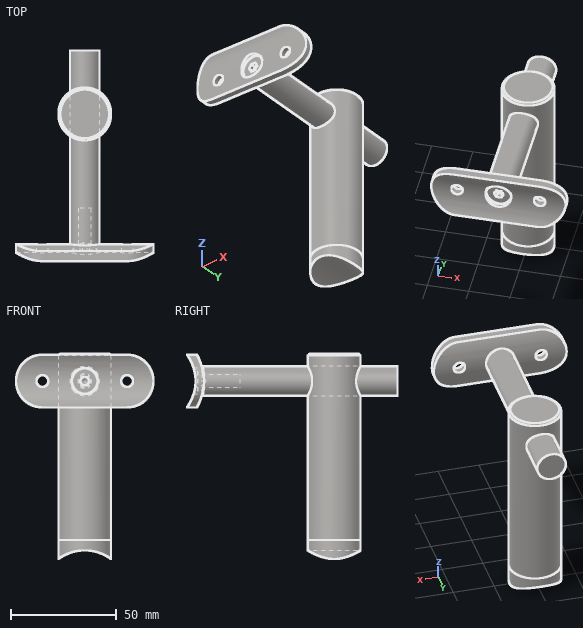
import cadquery as cq


tube_radius = 42.4 / 2

post_diameter = 25.0
post_top = 13.0
post_chamfer = 1.0
post_bottom = -75.0
foot_height = 5.0

plate_length = 65.0
plate_width = post_diameter
plate_thickness = 4.0
plate_inner_y = -65.5
plate_outer_y = plate_inner_y + plate_thickness
plate_tube_y = plate_inner_y - tube_radius
plate_back_radius = tube_radius + plate_thickness
fixing_hole_diameter = 5.5
fixing_hole_spacing = 40.0

bar_diameter = 14.0
bar_back_y = 30.0
bar_end_radius = 2 * tube_radius

screw_diameter = 6.0
screw_length = 20.0
screw_head_diameter = 12.0
screw_face_depth = 1.0
screw_face_y = plate_inner_y + screw_face_depth
screw_rim_height = 0.3
screw_cone_y = screw_face_y + screw_rim_height
screw_cone_end_y = screw_cone_y + (screw_head_diameter - screw_diameter) / 2
recess_diameter = 12.4
recess_cone_y = screw_cone_y - (recess_diameter - screw_head_diameter) / 2
socket_across_flats = 4.0
socket_turn = 30.0
socket_depth = 3.0
socket_cone_height = 1.0

cut_margin = 10.0


def cylinder_x(radius, y, length):
    """Cylinder parallel to X, centred on X = 0, with its axis at Z = 0."""
    return cq.Workplane("YZ").center(y, 0).circle(radius).extrude(length / 2, both=True)


def cylinder_y(diameter, start_y, end_y, x=0.0):
    """Cylinder parallel to Y between two Y positions, with its axis at Z = 0."""
    solid = cq.Solid.makeCylinder(
        diameter / 2, end_y - start_y, cq.Vector(x, start_y, 0), cq.Vector(0, 1, 0)
    )
    return cq.Workplane(solid)


def cone_y(start_diameter, end_diameter, start_y, end_y):
    """Cone on the Y axis between two Y positions."""
    solid = cq.Solid.makeCone(
        start_diameter / 2, end_diameter / 2, end_y - start_y, cq.Vector(0, start_y, 0), cq.Vector(0, 1, 0)
    )
    return cq.Workplane(solid)


def make_post():
    """Round post with a chamfered top and a cross hole for the bar."""
    post = (
        cq.Workplane("XY", origin=(0, 0, post_bottom))
        .circle(post_diameter / 2)
        .extrude(post_top - post_bottom)
        .faces(">Z")
        .chamfer(post_chamfer)
    )
    return post.cut(cylinder_y(bar_diameter, -post_diameter, post_diameter))


def make_foot():
    """Disc under the post, hollowed below to sit on a tube that runs along Y."""
    foot = (
        cq.Workplane("XY", origin=(0, 0, post_bottom))
        .circle(post_diameter / 2)
        .extrude(-foot_height - tube_radius)
    )
    tube_z = post_bottom - foot_height - tube_radius
    tube = (
        cq.Workplane("XZ")
        .center(0, tube_z)
        .circle(tube_radius)
        .extrude(post_diameter, both=True)
    )
    return foot.cut(tube)


def make_screw_blank():
    """Countersunk screw without its socket."""
    rim = cylinder_y(screw_head_diameter, screw_face_y, screw_cone_y)
    cone = cone_y(screw_head_diameter, screw_diameter, screw_cone_y, screw_cone_end_y)
    shank = cylinder_y(screw_diameter, screw_cone_end_y, screw_face_y + screw_length)
    return rim.union(cone).union(shank)


def make_crossbar():
    """Round bar with a hollowed front end that is drilled to fit the screw."""
    bar = cylinder_y(bar_diameter, plate_outer_y - cut_margin, bar_back_y)
    end_cutter = cylinder_x(bar_end_radius, plate_outer_y - bar_end_radius, plate_length)
    return bar.cut(end_cutter).cut(make_screw_blank())


def make_plate():
    """Stadium plate curved around a tube along X, with two fixing holes and a countersink."""
    outline = (
        cq.Workplane("XZ", origin=(0, plate_outer_y, 0))
        .slot2D(plate_length, plate_width)
        .extrude(tube_radius)
    )
    shell = cylinder_x(plate_back_radius, plate_tube_y, plate_length)
    shell = shell.cut(cylinder_x(tube_radius, plate_tube_y, plate_length))
    plate = outline.intersect(shell)

    for side in (-1, 1):
        hole_x = side * fixing_hole_spacing / 2
        plate = plate.cut(
            cylinder_y(fixing_hole_diameter, plate_tube_y, plate_outer_y + cut_margin, hole_x)
        )

    plate = plate.cut(cylinder_y(recess_diameter, plate_tube_y, recess_cone_y))
    plate = plate.cut(cone_y(recess_diameter, screw_diameter, recess_cone_y, screw_cone_end_y))
    return plate.cut(cylinder_y(screw_diameter, screw_face_y, plate_outer_y + cut_margin))


def make_screw():
    """Screw with a hexagon socket that ends in a drill cone."""
    socket = (
        cq.Workplane("XZ", origin=(0, screw_face_y, 0))
        .transformed(rotate=(0, 0, socket_turn))
        .polygon(6, socket_across_flats, circumscribed=True)
        .extrude(-socket_depth)
    )
    socket_end_y = screw_face_y + socket_depth
    drill_cone = cone_y(socket_across_flats, 0, socket_end_y, socket_end_y + socket_cone_height)
    return make_screw_blank().cut(socket).cut(drill_cone)


post = make_post()
foot = make_foot()
crossbar = make_crossbar()
plate = make_plate()
screw = make_screw()

result = cq.Compound.makeCompound(
    [post.val(), foot.val(), crossbar.val(), plate.val(), screw.val()]
)